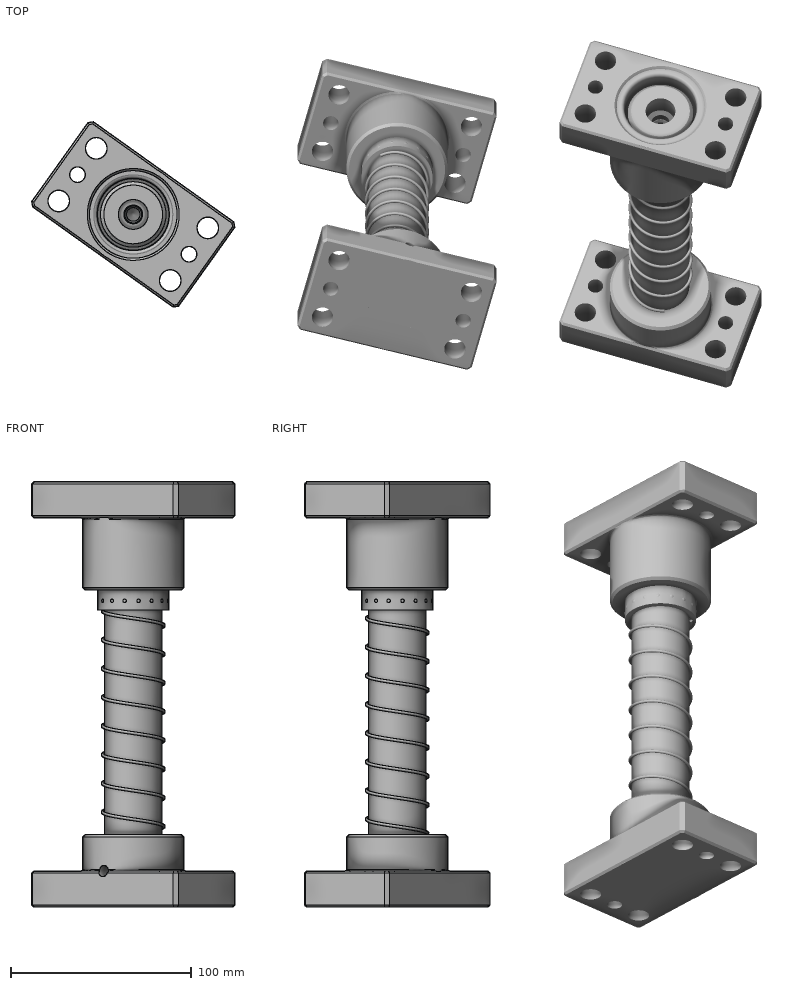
import cadquery as cq
import math

total_height = 236.3
turn_about_axis = -35.5

plate_length = 100.2
plate_width = 58.1
plate_thickness = 20.0
plate_corner_chamfer = 2.1
plate_edge_chamfer = 1.2
screw_hole_radius = 6.0
dowel_hole_radius = 4.3
hole_offset_along = 38.0
screw_offset_across = 18.0

boss_radius = 28.0
boss_edge_chamfer = 1.5
boss_root_fillet = 1.0
lower_boss_top = 40.5
upper_boss_bottom = 176.0
vent_radius = 3.0
vent_depth = 11.8

post_radius = 16.0
post_top = 212.6
tapped_hole_radius = 3.8
tapped_hole_depth = 14.2
tapped_hole_chamfer = 1.0
drill_tip_angle = 118.0

cap_radius = 18.2
cap_top = 230.0
cap_chamfer = 2.0
cap_recess_radius = 8.3
cap_recess_depth = 13.0
cap_screw_radius = 5.2

bush_radius = 24.3
bush_bore_radius = 20.0
bush_mouth_fillet = 2.0
bush_seat_chamfer = 1.2

cage_radius = 19.8
cage_bore_radius = 16.5
cage_bottom = 165.0
cage_top = 208.0
ball_radius = 2.0
ball_count = 16
ball_row_height = 5.2
first_ball_angle = -81.5

wire_radius = 0.83
wire_clearance = 0.05
spring_turns = 7.7
spring_start_angle = 80.0


def cylinder(radius, bottom, top):
    return cq.Workplane("XY").workplane(offset=bottom).circle(radius).extrude(top - bottom)


def turned(body):
    """Turn a body about the post axis to the direction of the plates."""
    return body.rotate((0, 0, 0), (0, 0, 1), turn_about_axis)


def drilled_plate():
    """Chamfered plate with four screw holes and two dowel holes."""
    plate = cq.Workplane("XY").box(plate_length, plate_width, plate_thickness, centered=(True, True, False))
    plate = plate.edges("|Z").chamfer(plate_corner_chamfer)
    plate = plate.faces("<Z or >Z").chamfer(plate_edge_chamfer)
    hole_spacing = 2 * hole_offset_along
    screws = (
        cq.Workplane("XY")
        .rarray(hole_spacing, 2 * screw_offset_across, 2, 2)
        .circle(screw_hole_radius)
        .extrude(plate_thickness)
    )
    dowels = (
        cq.Workplane("XY")
        .rarray(hole_spacing, 2.4, 2, 1)
        .circle(dowel_hole_radius)
        .extrude(plate_thickness)
    )
    return plate.cut(screws).cut(dowels)


def boss_root():
    """Fillet around the foot of a boss, limited to the flat top of the plate."""
    fillet = (
        cq.Workplane("XZ")
        .moveTo(0, plate_thickness)
        .lineTo(boss_radius + boss_root_fillet, plate_thickness)
        .radiusArc((boss_radius, plate_thickness + boss_root_fillet), boss_root_fillet)
        .lineTo(0, plate_thickness + boss_root_fillet)
        .close()
        .revolve(360, (0, 0), (0, 1))
    )
    flat_width = plate_width - 2 * plate_edge_chamfer
    return fillet.intersect(cq.Workplane("XY").box(plate_length, flat_width, 4 * plate_thickness))


def flanged_plate(boss_end):
    """Plate standing on z = 0, with a boss that rises to boss_end."""
    boss = cylinder(boss_radius, 0, boss_end).faces(">Z").chamfer(boss_edge_chamfer)
    return drilled_plate().union(boss).union(boss_root())


def make_lower_plate():
    """Plate for the foot of the post, with a vent drilled from its side where the boss begins."""
    bore = cylinder(post_radius, 0, lower_boss_top)
    vent = (
        cq.Workplane("XZ", origin=(0, -plate_width / 2, plate_thickness))
        .circle(vent_radius)
        .extrude(-vent_depth)
    )
    return turned(flanged_plate(lower_boss_top).cut(bore).cut(vent))


def make_upper_plate():
    """Upside-down flanged plate, bored through for the bush, with a chamfered mouth."""
    body = flanged_plate(total_height - upper_boss_bottom)
    body = body.rotate((0, 0, 0), (1, 0, 0), 180).translate((0, 0, total_height))
    mouth_radius = bush_radius + bush_seat_chamfer
    bore = (
        cq.Workplane("XZ")
        .moveTo(0, upper_boss_bottom)
        .lineTo(bush_radius, upper_boss_bottom)
        .lineTo(bush_radius, total_height - bush_seat_chamfer)
        .lineTo(mouth_radius, total_height)
        .lineTo(0, total_height)
        .close()
        .revolve(360, (0, 0), (0, 1))
    )
    return turned(body.cut(bore))


def make_bush():
    """Sleeve whose top is level with the bottom of the chamfer in the plate."""
    bush_top = total_height - bush_seat_chamfer
    bore = cylinder(bush_bore_radius, upper_boss_bottom, bush_top)
    bush = cylinder(bush_radius, upper_boss_bottom, bush_top).cut(bore)
    return bush.faces(">Z").edges(cq.selectors.RadiusNthSelector(0)).fillet(bush_mouth_fillet)


def make_post():
    """Round post with a chamfered, drill-pointed hole in its top."""
    hole_bottom = post_top - tapped_hole_depth
    tip_length = tapped_hole_radius / math.tan(math.radians(drill_tip_angle / 2))
    hole = (
        cq.Workplane("XZ")
        .moveTo(0, post_top)
        .lineTo(tapped_hole_radius + tapped_hole_chamfer, post_top)
        .lineTo(tapped_hole_radius, post_top - tapped_hole_chamfer)
        .lineTo(tapped_hole_radius, hole_bottom)
        .lineTo(0, hole_bottom - tip_length)
        .close()
        .revolve(360, (0, 0), (0, 1))
    )
    return cylinder(post_radius, 0, post_top).cut(hole)


def make_cap():
    """Chamfered disc with a recess for the screw head and a hole for the screw."""
    cap = cylinder(cap_radius, post_top, cap_top).faces(">Z").chamfer(cap_chamfer)
    recess = cylinder(cap_recess_radius, cap_top - cap_recess_depth, cap_top)
    return cap.cut(recess).cut(cylinder(cap_screw_radius, post_top, cap_top))


def make_cage():
    """Sleeve with one row of balls that touch the post and stand out of both its surfaces."""
    cage = cylinder(cage_radius, cage_bottom, cage_top).cut(cylinder(cage_bore_radius, cage_bottom, cage_top))
    balls = (
        cq.Workplane("XY")
        .workplane(offset=cage_bottom + ball_row_height)
        .polarArray(post_radius + ball_radius, first_ball_angle, 360, ball_count)
        .sphere(ball_radius, combine=False)
    )
    for ball in balls.vals():
        cage = cage.union(cq.Workplane(ball))
    return cage


def make_spring():
    """Round wire swept along a helix that starts just above the lower boss."""
    coil_radius = post_radius + wire_clearance + wire_radius
    end_gap = wire_radius + wire_clearance
    height = cage_bottom - lower_boss_top - 2 * end_gap
    pitch = height / spring_turns
    helix = cq.Wire.makeHelix(pitch, height, coil_radius, lefthand=True)
    rise_per_length = pitch / (2 * math.pi * coil_radius)
    start = cq.Plane(origin=(coil_radius, 0, 0), xDir=(1, 0, 0), normal=(0, -1, rise_per_length))
    coil = cq.Workplane(start).circle(wire_radius).sweep(helix, isFrenet=True)
    coil = coil.rotate((0, 0, 0), (0, 0, 1), spring_start_angle)
    return coil.translate((0, 0, lower_boss_top + end_gap))


lower_plate = make_lower_plate()
upper_plate = make_upper_plate()
bush = make_bush()
post = make_post()
cap = make_cap()
cage = make_cage()
spring = make_spring()

result = cq.Compound.makeCompound([
    lower_plate.val(),
    upper_plate.val(),
    bush.val(),
    post.val(),
    cap.val(),
    cage.val(),
    spring.val(),
])